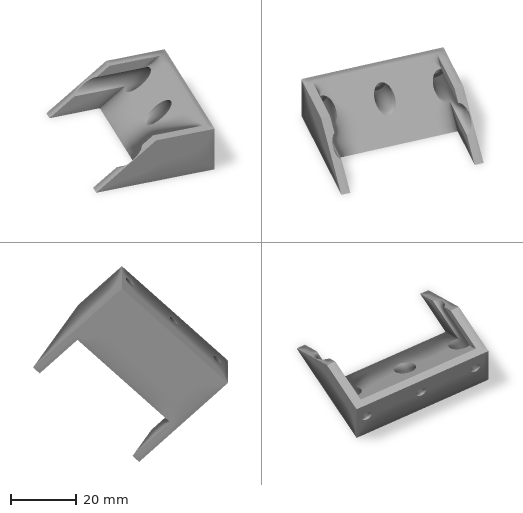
import cadquery as cq

width = 46.0
depth = 38.5
height = 15.0

side_wall = 2.9
back_wall = 2.6
arm_top_depth = 19.0
slope_run = depth - arm_top_depth

hole_diameter = 3.4
counterbore_diameter = 6.4
hole_height = 9.0
hole_spacing = 19.0
middle_hole_x = 0.5
back_y = depth / 2


def sloped_block(block_width, top_depth):
    """Block against the back plane, with a front face that slopes outward to the base."""
    profile = [
        (back_y, 0),
        (back_y, height),
        (back_y - top_depth, height),
        (back_y - top_depth - slope_run, 0),
    ]
    return (
        cq.Workplane("YZ")
        .polyline(profile)
        .close()
        .extrude(block_width / 2, both=True)
    )


def front_cylinder(x, diameter, start_y):
    """Cylinder along Y from start_y out past the front of the part."""
    return (
        cq.Workplane("XZ", origin=(x, start_y, hole_height))
        .circle(diameter / 2)
        .extrude(2 * depth)
    )


outer = sloped_block(width, arm_top_depth)
back_block = sloped_block(width, back_wall)
arm_gap = cq.Workplane("XY").box(
    width - 2 * side_wall, depth, height, centered=(True, True, False)
)
result = outer.cut(arm_gap).union(back_block)

for hole_index in (-1, 0, 1):
    hole_x = middle_hole_x + hole_index * hole_spacing
    result = result.cut(front_cylinder(hole_x, hole_diameter, back_y))
    result = result.cut(
        front_cylinder(hole_x, counterbore_diameter, back_y - back_wall)
    )